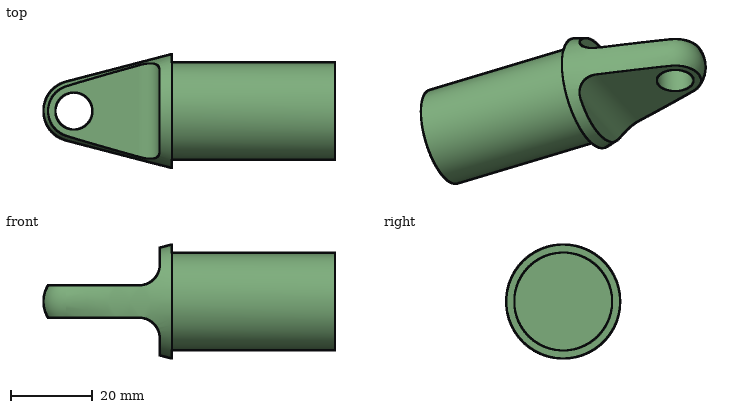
import cadquery as cq
import math

shank_diameter = 24.0
shank_length = 40.0
cone_base_radius = 14.0
tip_radius = 7.5
eye_offset = 24.0
eye_diameter = 9.0
blade_thickness = 8.0
flange_thickness = 3.0
root_radius = 5.0

base_edge_to_tip_centre = math.hypot(eye_offset, cone_base_radius)
tip_centre_angle = math.atan2(cone_base_radius, eye_offset)
cone_half_angle = tip_centre_angle - math.asin(tip_radius / base_edge_to_tip_centre)


def on_tip(angle):
    """Point of the ball tip's outline, at an angle measured from +X."""
    return (-eye_offset + tip_radius * math.cos(angle), tip_radius * math.sin(angle))


def make_head():
    """Cone with a tangent ball tip, revolved about X."""
    tangent_angle = math.pi / 2 + cone_half_angle
    middle_angle = (tangent_angle + math.pi) / 2
    return (
        cq.Workplane("XY")
        .lineTo(0, cone_base_radius)
        .lineTo(*on_tip(tangent_angle))
        .threePointArc(on_tip(middle_angle), on_tip(math.pi))
        .close()
        .revolve(360, (0, 0, 0), (1, 0, 0))
    )


def make_shank():
    return cq.Workplane("YZ").circle(shank_diameter / 2).extrude(shank_length)


def make_blade_cut():
    """Material removed above the blade, with the root fillet left standing."""
    half_blade = blade_thickness / 2
    beyond_tip = -(eye_offset + 2 * tip_radius)
    beyond_rim = 2 * cone_base_radius
    return (
        cq.Workplane("XZ", origin=(0, beyond_rim, 0))
        .moveTo(beyond_tip, half_blade)
        .lineTo(-flange_thickness - root_radius, half_blade)
        .radiusArc((-flange_thickness, half_blade + root_radius), -root_radius)
        .lineTo(-flange_thickness, beyond_rim)
        .lineTo(beyond_tip, beyond_rim)
        .close()
        .extrude(2 * beyond_rim)
    )


def make_eye():
    """Through hole across the blade, concentric with the ball tip."""
    return (
        cq.Workplane("XY", origin=(-eye_offset, 0, -blade_thickness))
        .circle(eye_diameter / 2)
        .extrude(2 * blade_thickness)
    )


upper_cut = make_blade_cut()
lower_cut = upper_cut.mirror("XY")

result = make_head().union(make_shank()).cut(upper_cut).cut(lower_cut).cut(make_eye())